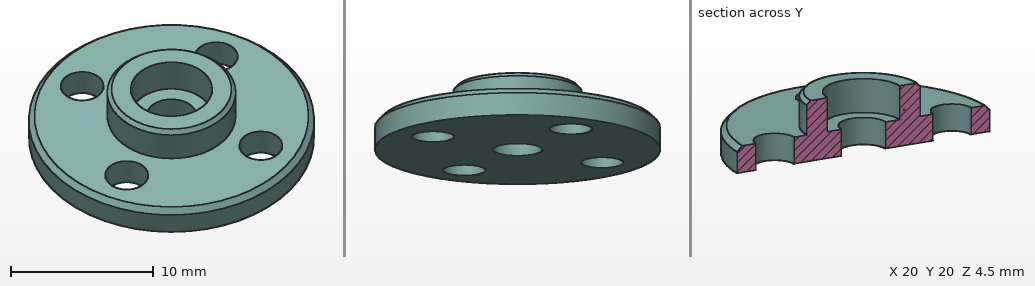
import cadquery as cq

flange_diameter = 20.0
flange_thickness = 2.0
flange_chamfer = 0.4

hub_diameter = 9.0
total_height = 4.5
hub_height = total_height - flange_thickness
hub_chamfer = 0.3

bore_diameter = 3.5
counterbore_diameter = 5.7
counterbore_depth = hub_height

mount_hole_diameter = 3.0
mount_circle_diameter = 14.0
mount_hole_count = 4


def chamfered_disc(diameter, height, chamfer, base_z):
    """Disc standing on base_z with its top rim chamfered."""
    disc = cq.Workplane("XY").workplane(offset=base_z).circle(diameter / 2).extrude(height)
    return disc.faces(">Z").edges().chamfer(chamfer)


flange = chamfered_disc(flange_diameter, flange_thickness, flange_chamfer, 0)
hub = chamfered_disc(hub_diameter, hub_height, hub_chamfer, flange_thickness)
body = flange.union(hub)

central_bore = cq.Workplane("XY").circle(bore_diameter / 2).extrude(total_height)
counterbore = (
    cq.Workplane("XY")
    .workplane(offset=total_height - counterbore_depth)
    .circle(counterbore_diameter / 2)
    .extrude(counterbore_depth)
)
mount_holes = (
    cq.Workplane("XY")
    .polarArray(mount_circle_diameter / 2, 0, 360, mount_hole_count)
    .circle(mount_hole_diameter / 2)
    .extrude(flange_thickness)
)

result = body.cut(central_bore).cut(counterbore).cut(mount_holes)